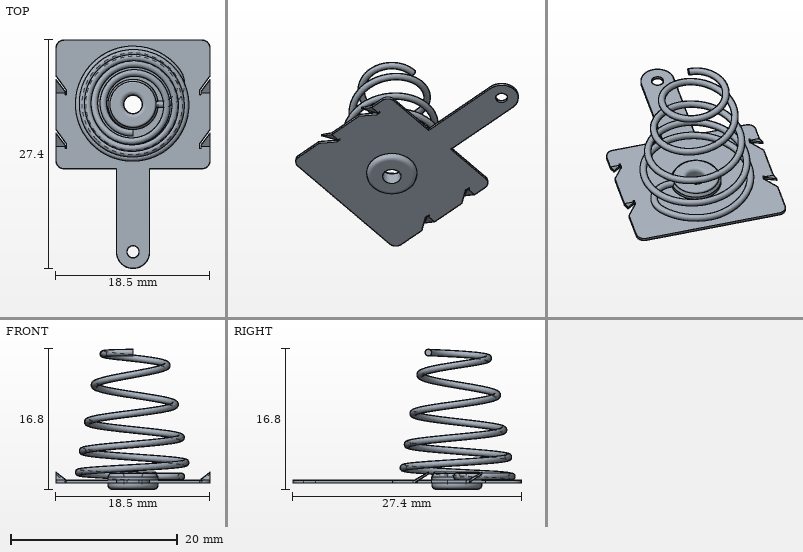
import cadquery as cq
import math

plate_width = 18.5
plate_length = 15.45
plate_thickness = 0.35
plate_corner_radius = 1.0
overall_length = 27.4
tab_width = 4.0
tab_hole_diameter = 1.43
tab_end_y = plate_length / 2 - overall_length
tab_hole_y = tab_end_y + tab_width / 2

barb_root_positions = (1.18, -5.25)
barb_depth = 1.12
barb_length = 1.85
barb_inner_length = 0.35
barb_bend_offset = 0.2
barb_tip_bottom = 1.07
barb_tip_top = 1.32
slit_depth = 1.25
slit_length = 2.25
slit_inner_length = 0.52

rivet_radius = 3.02
rivet_bottom = -0.75
rivet_top = 1.35
rivet_bottom_round = 0.52
rivet_rim_top = 0.75
rivet_shoulder_radius = 2.77
rivet_shoulder_round = 0.22
rivet_shoulder_z = rivet_top - rivet_shoulder_round
rivet_bore_radius = 1.1
rivet_mouth_radius = 0.52

overall_height = 16.8
wire_diameter = 0.8
base_radius = 6.6
base_height = 0.8
cone_turns = 3.5
first_pitch = 1.86
pitch_growth = 0.47
taper = 0.18
top_height = rivet_bottom + overall_height - wire_diameter / 2
top_radius_rate = -1.53
top_radius_curve = 0.55
points_per_turn = 12
leg_start = 2.2
leg_bend_radius = 2.47


def make_plate():
    body = (
        cq.Workplane("XY")
        .rect(plate_width, plate_length)
        .extrude(plate_thickness)
        .edges("|Z")
        .fillet(plate_corner_radius)
    )
    half_tab = tab_width / 2
    tab = (
        cq.Workplane("XY")
        .moveTo(-half_tab, 0)
        .lineTo(-half_tab, tab_hole_y)
        .threePointArc((0, tab_end_y), (half_tab, tab_hole_y))
        .lineTo(half_tab, 0)
        .close()
        .extrude(plate_thickness)
    )
    hole = (
        cq.Workplane("XY")
        .center(0, tab_hole_y)
        .circle(tab_hole_diameter / 2)
        .extrude(plate_thickness)
    )
    return body.union(tab).cut(hole)


def edge_wedge(root_y, depth, outer_length, inner_length, height):
    """Prism at the -X edge, longer at the edge than at its inner side."""
    edge_x = -plate_width / 2
    outline = [
        (edge_x, root_y),
        (edge_x + depth, root_y),
        (edge_x + depth, root_y + inner_length),
        (edge_x, root_y + outer_length),
    ]
    return cq.Workplane("XY").polyline(outline).close().extrude(height)


def make_barb(root_y):
    bend_y = root_y + barb_bend_offset
    tip_y = root_y + barb_length
    profile = [
        (root_y, 0),
        (bend_y, 0),
        (tip_y, barb_tip_bottom),
        (tip_y, barb_tip_top),
        (bend_y, plate_thickness),
        (root_y, plate_thickness),
    ]
    strip = (
        cq.Workplane("YZ", origin=(-plate_width / 2, 0, 0))
        .polyline(profile)
        .close()
        .extrude(barb_depth)
    )
    return strip.intersect(edge_wedge(root_y, barb_depth, barb_length, barb_inner_length, barb_tip_top))


def add_barbs(plate):
    for root_y in barb_root_positions:
        slit = edge_wedge(root_y, slit_depth, slit_length, slit_inner_length, plate_thickness)
        barb = make_barb(root_y)
        plate = plate.cut(slit).cut(slit.mirror("YZ"))
        plate = plate.union(barb).union(barb.mirror("YZ"))
    return plate


def rivet_bore():
    return (
        cq.Workplane("XY", origin=(0, 0, rivet_bottom))
        .circle(rivet_bore_radius)
        .extrude(rivet_top - rivet_bottom)
    )


def make_rivet():
    arc_inset = rivet_shoulder_round * (1 - math.sqrt(0.5))
    body = (
        cq.Workplane("YZ")
        .moveTo(0, rivet_bottom)
        .lineTo(rivet_radius, rivet_bottom)
        .lineTo(rivet_radius, rivet_rim_top)
        .lineTo(rivet_shoulder_radius, rivet_shoulder_z)
        .threePointArc(
            (rivet_shoulder_radius - arc_inset, rivet_top - arc_inset),
            (rivet_shoulder_radius - rivet_shoulder_round, rivet_top),
        )
        .lineTo(0, rivet_top)
        .close()
        .revolve(360, (0, 0, 0), (0, 1, 0))
        .faces("<Z")
        .edges()
        .fillet(rivet_bottom_round)
    )
    tube = body.cut(rivet_bore())
    return tube.faces(">Z").edges(cq.selectors.RadiusNthSelector(0)).fillet(rivet_mouth_radius)


def cone_height(turn):
    return base_height + first_pitch * turn + pitch_growth * turn**2


def cone_radius(turn):
    return base_radius - taper * (cone_height(turn) - base_height)


def coil_point(turn):
    if turn <= cone_turns:
        radius = cone_radius(turn)
        height = cone_height(turn)
    else:
        s = turn - cone_turns
        start = cone_height(cone_turns)
        slope = first_pitch + 2 * pitch_growth * cone_turns
        height = start + (top_height - start) * (3 * s**2 - 2 * s**3) + slope * s * (1 - s) ** 2
        radius = cone_radius(cone_turns) + top_radius_rate * s + top_radius_curve * s**2
    angle = math.pi / 2 + 2 * math.pi * turn
    return cq.Vector(radius * math.cos(angle), radius * math.sin(angle), height)


def make_spring():
    bend_x = math.sqrt((base_radius - leg_bend_radius) ** 2 - leg_bend_radius**2)
    bend_angle = math.atan2(leg_bend_radius, bend_x)
    mid_bend_angle = (bend_angle - math.pi / 2) / 2
    mid_base_angle = (bend_angle + math.pi / 2) / 2

    def base_point(angle, radius=base_radius, center_x=0.0, center_y=0.0):
        x = center_x + radius * math.cos(angle)
        y = center_y + radius * math.sin(angle)
        return cq.Vector(x, y, base_height)

    leg_from = cq.Vector(leg_start, 0, base_height)
    leg_to = cq.Vector(bend_x, 0, base_height)
    bend_middle = base_point(mid_bend_angle, leg_bend_radius, bend_x, leg_bend_radius)
    bend_end = base_point(bend_angle)
    total_turns = cone_turns + 1
    turns = [i / points_per_turn for i in range(round(total_turns * points_per_turn) + 1)]
    coil_points = [coil_point(turn) for turn in turns]
    start_tangent = cq.Vector(-2 * math.pi * base_radius, 0, 0)
    end_tangent = cq.Vector(2 * math.pi * abs(coil_points[-1].y), 0, 0)
    path = cq.Wire.assembleEdges([
        cq.Edge.makeLine(leg_from, leg_to),
        cq.Edge.makeThreePointArc(leg_to, bend_middle, bend_end),
        cq.Edge.makeThreePointArc(bend_end, base_point(mid_base_angle), coil_points[0]),
        cq.Edge.makeSpline(
            coil_points, tangents=[start_tangent, end_tangent], parameters=turns, scale=False
        ),
    ])
    return (
        cq.Workplane("YZ", origin=leg_from.toTuple())
        .circle(wire_diameter / 2)
        .sweep(cq.Workplane(path))
    )


plate = add_barbs(make_plate()).cut(rivet_bore())
result = plate.union(make_rivet()).union(make_spring())